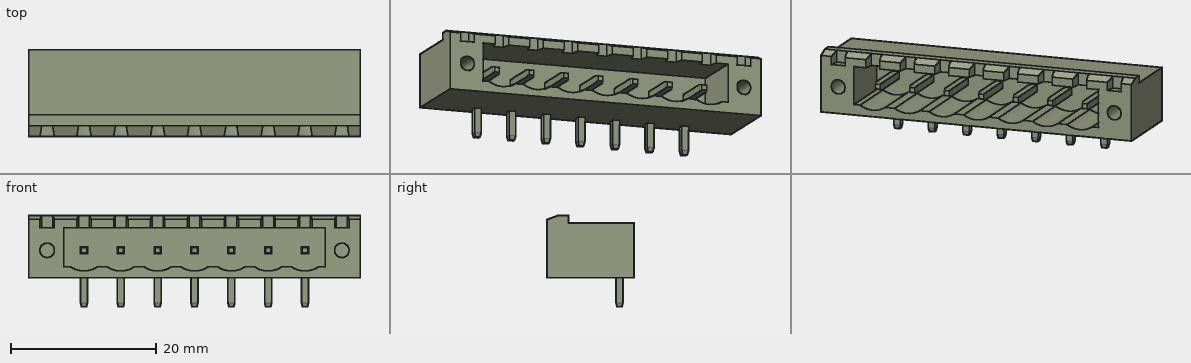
import cadquery as cq

PITCH = 5.08
PIN_COUNT = 7

LENGTH = (PIN_COUNT + 2) * PITCH
DEPTH = 12.0
BODY_HEIGHT = 7.6
LIP_HEIGHT = 1.0
LIP_DEPTH = 3.0
LIP_SLOPE_DEPTH = 1.5
LIP_SLOPE_DROP = 0.55
TOP = BODY_HEIGHT + LIP_HEIGHT
FRONT = -DEPTH / 2
BACK = DEPTH / 2

CAVITY_LENGTH = 36.0
CAVITY_DEPTH = 9.0
CAVITY_FLOOR = 1.5
CAVITY_ROOF = 6.9
SCALLOP_HALF_WIDTH = 1.85
SCALLOP_SAG = 0.55

NOTCH_DEPTH = 1.5
NOTCH_FRONT_WIDTH = 2.0
NOTCH_BACK_WIDTH = 1.5

SCREW_HOLE_DIAMETER = 2.0
SCREW_HOLE_DEPTH = 9.0
SCREW_HOLE_X = LENGTH / 2 - PITCH / 2

PIN_SIZE = 1.0
PIN_TIP_LENGTH = 0.6
PIN_TIP_SIZE = 0.7
PIN_AXIS_Z = 3.8
CONTACT_SETBACK = 2.0
LEG_LENGTH = 4.0
LEG_Y = BACK - 2.0


def row_positions(count):
    """X positions of `count` places, one pitch apart and centred on the housing."""
    return [(i - (count - 1) / 2) * PITCH for i in range(count)]


def make_housing():
    """Block with a raised lip that slopes down to the front face."""
    profile = [
        (FRONT, 0),
        (BACK, 0),
        (BACK, BODY_HEIGHT),
        (FRONT + LIP_DEPTH, BODY_HEIGHT),
        (FRONT + LIP_DEPTH, TOP),
        (FRONT + LIP_SLOPE_DEPTH, TOP),
        (FRONT, TOP - LIP_SLOPE_DROP),
    ]
    return cq.Workplane("YZ").polyline(profile).close().extrude(LENGTH / 2, both=True)


def make_cavity():
    """Plug cavity open to the front, with one shallow arc in its floor below each pin."""
    half_length = CAVITY_LENGTH / 2
    outline = cq.Workplane("XZ", origin=(0, FRONT, 0)).moveTo(-half_length, CAVITY_FLOOR)
    for x in row_positions(PIN_COUNT):
        outline = outline.lineTo(x - SCALLOP_HALF_WIDTH, CAVITY_FLOOR)
        outline = outline.threePointArc(
            (x, CAVITY_FLOOR - SCALLOP_SAG),
            (x + SCALLOP_HALF_WIDTH, CAVITY_FLOOR),
        )
    outline = outline.lineTo(half_length, CAVITY_FLOOR)
    outline = outline.lineTo(half_length, CAVITY_ROOF).lineTo(-half_length, CAVITY_ROOF)
    return outline.close().extrude(-CAVITY_DEPTH)


def make_notch(x):
    """Notch from the front face, narrowing towards its back wall."""
    half_front = NOTCH_FRONT_WIDTH / 2
    half_back = NOTCH_BACK_WIDTH / 2
    plan = [
        (x - half_front, FRONT),
        (x + half_front, FRONT),
        (x + half_back, FRONT + NOTCH_DEPTH),
        (x - half_back, FRONT + NOTCH_DEPTH),
    ]
    floor = cq.Workplane("XY", origin=(0, 0, CAVITY_ROOF))
    return floor.polyline(plan).close().extrude(TOP - CAVITY_ROOF)


def make_screw_hole(x):
    """Blind round hole entering from the front face."""
    face = cq.Workplane("XZ", origin=(x, FRONT, PIN_AXIS_Z))
    return face.circle(SCREW_HOLE_DIAMETER / 2).extrude(-SCREW_HOLE_DEPTH)


def make_straight_pin(start, direction, length):
    """Square pin from `start` along `direction`, with a tapered tip at its far end."""
    base = cq.Plane(origin=start, xDir=(1, 0, 0), normal=direction)
    shaft_length = length - PIN_TIP_LENGTH
    shaft = cq.Workplane(base).rect(PIN_SIZE, PIN_SIZE).extrude(shaft_length)
    tip = (
        cq.Workplane(base)
        .workplane(offset=shaft_length)
        .rect(PIN_SIZE, PIN_SIZE)
        .workplane(offset=PIN_TIP_LENGTH)
        .rect(PIN_TIP_SIZE, PIN_TIP_SIZE)
        .loft()
    )
    return shaft.union(tip)


def make_pin(x):
    """Right-angle pin: a contact pointing forward in the cavity and a leg pointing down."""
    corner = (x, LEG_Y, PIN_AXIS_Z)
    contact = make_straight_pin(corner, (0, -1, 0), LEG_Y - FRONT - CONTACT_SETBACK)
    leg = make_straight_pin(corner, (0, 0, -1), PIN_AXIS_Z + LEG_LENGTH)
    return contact.union(leg)


result = make_housing().cut(make_cavity())
for notch_x in row_positions(PIN_COUNT + 2):
    result = result.cut(make_notch(notch_x))
for hole_x in (-SCREW_HOLE_X, SCREW_HOLE_X):
    result = result.cut(make_screw_hole(hole_x))
for pin_x in row_positions(PIN_COUNT):
    result = result.union(make_pin(pin_x))